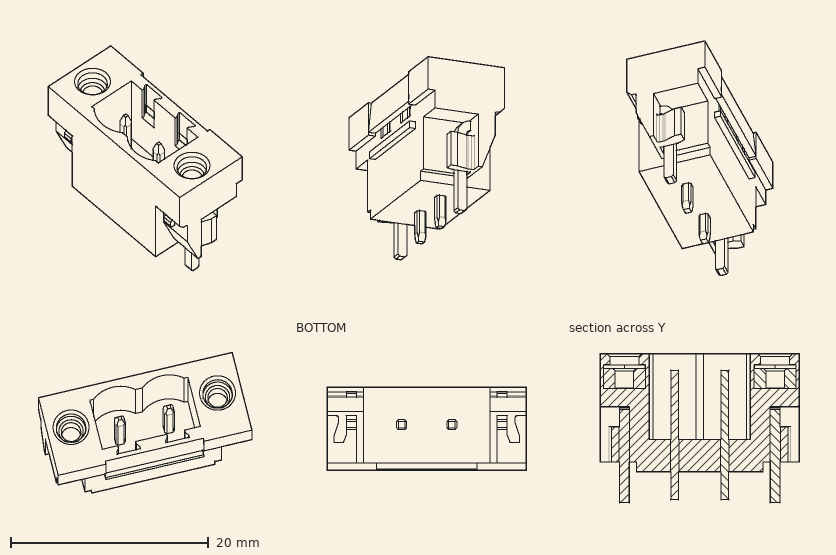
import cadquery as cq
import math


LENGTH = 20.15
TOP = 11.98
OVERHANG_BACK = 8.43
BODY_BACK = 7.66
OVERHANG_BOTTOM = 8.49
BODY_WIDTH = 12.82
PIN_BOTTOM = -3.23

HALF_LENGTH = LENGTH / 2
FLANGE_WIDTH = (LENGTH - BODY_WIDTH) / 2
AXIS_Y = 3.81
BAR = 1.0

CAVITY_WIDTH = 10.2
CAVITY_FRONT = 1.5
CAVITY_BACK = 6.81
CAVITY_FLOOR = 3.3
LOBE_FRONT = 0.7
LOBE_HALF_CHORD = 2.18

GROOVE_NECK = 1.83
GROOVE_WIDTH = 2.4
GROOVE_NECK_END = 7.05
GROOVE_WIDE_START = 7.44
GROOVE_FLOOR = 7.8

LATCH_FACE = 8.79
RAMP_DEPTH = 0.32
RIB_BACK = 8.3
RIB_BOTTOM = 5.99
RIB_TOP = 6.71

FLANGE_BOTTOM = 0.99
FLANGE_FRONT = 1.03
FLANGE_TOE = 2.45
SLOPE_TOP = 4.55
STEP_UNDERSIDE = 7.1
STEP_CHAMFER = 0.52
STEP_FILLET = 0.16

CHAMBER_FRONT = 2.9
CHAMBER_TOP = 6.57

CLIP_TOP = 4.6
CLIP_ROOT_FILLET = 0.22
CLIP_ROOT_INSET = 1.15
CLIP_TIP_INSET = 0.73
CLIP_BEND = 3.6
CLIP_BEND_RADIUS = 0.62
CLIP_TIP_START = 4.9
CLIP_TIP = 5.6
CLIP_LEAD_INSET = 1.65
CLIP_LEAD_START = 4.84

PITCH = 5.08
CONTACT_TOP = 11.07
CONTACT_CHAMFER = 0.2
CONTACT_TOP_TIP = 0.35
CONTACT_TOP_TAPER = 1.13
CONTACT_BOTTOM_TIP = 0.65
CONTACT_BOTTOM_TAPER = 0.93
CONTACT_XS = (-PITCH / 2, PITCH / 2)

SCREW_PITCH = 15.25
BEND_INNER = 0.4
ARM_FRONT = 0.46
ARM_TOP = 6.45
BAR_CHAMFER = 0.2
SIDES = (-1, 1)

SCREW_X = SCREW_PITCH / 2
OPENING_RADIUS = 1.5
OPENING_CHAMFER = 0.32
NUT_POCKET_TOP = 10.83
NUT_TOP = 10.46
NUT_HEIGHT = 2.0
NUT_ACROSS_CORNERS = 4.84
NUT_BORE_RADIUS = 0.99
NUT_CHAMFER = 0.25

CHAMBER_INSET = HALF_LENGTH - SCREW_X + BAR / 2
CLIP_INNER_INSET = CHAMBER_INSET - BAR


def box(x_range, y_range, z_range):
    """Box spanning the given (low, high) ranges."""
    (x0, x1), (y0, y1), (z0, z1) = x_range, y_range, z_range
    return cq.Workplane("XY").box(x1 - x0, y1 - y0, z1 - z0, centered=False).translate((x0, y0, z0))


def plane_at(z):
    """Horizontal work plane at height z."""
    return cq.Workplane("XY").workplane(offset=z)


def mirror_to(side, left_shape):
    """Return the left-hand shape, or its mirror image for the right-hand side."""
    return left_shape if side < 0 else left_shape.mirror("YZ")


def square_taper(bottom_z, height, bottom_width, top_width):
    """Four-sided taper between two square ends, centred on the Z axis."""
    return (
        plane_at(bottom_z).rect(bottom_width, bottom_width)
        .workplane(offset=height).rect(top_width, top_width)
        .loft(ruled=True)
    )


def make_contact(x):
    """Straight square contact with bevelled edges and tapered ends."""
    bar = (
        plane_at(PIN_BOTTOM).rect(BAR, BAR).extrude(CONTACT_TOP - PIN_BOTTOM)
        .edges("|Z").chamfer(CONTACT_CHAMFER)
    )
    shank_bottom = PIN_BOTTOM + CONTACT_BOTTOM_TAPER
    shank_top = CONTACT_TOP - CONTACT_TOP_TAPER
    envelope = (
        plane_at(shank_bottom).rect(BAR, BAR).extrude(shank_top - shank_bottom)
        .union(square_taper(PIN_BOTTOM, CONTACT_BOTTOM_TAPER, CONTACT_BOTTOM_TIP, BAR))
        .union(square_taper(shank_top, CONTACT_TOP_TAPER, BAR, CONTACT_TOP_TIP))
    )
    return bar.intersect(envelope).translate((x, AXIS_Y, 0))


def make_flange_pin(side):
    """Square bar bent through 90 degrees: an arm to the front and a leg down."""
    leg_front = AXIS_Y - BAR / 2
    leg_back = AXIS_Y + BAR / 2
    arm_bottom = ARM_TOP - BAR
    bend_outer = BEND_INNER + BAR
    bend_y = leg_back - bend_outer
    bend_z = ARM_TOP - bend_outer
    diagonal = math.sqrt(0.5)
    pin = (
        cq.Workplane("YZ", origin=(side * SCREW_X - BAR / 2, 0, 0))
        .moveTo(ARM_FRONT, arm_bottom)
        .lineTo(bend_y, arm_bottom)
        .threePointArc(
            (bend_y + BEND_INNER * diagonal, bend_z + BEND_INNER * diagonal), (leg_front, bend_z))
        .lineTo(leg_front, PIN_BOTTOM)
        .lineTo(leg_back, PIN_BOTTOM)
        .lineTo(leg_back, bend_z)
        .threePointArc(
            (bend_y + bend_outer * diagonal, bend_z + bend_outer * diagonal), (bend_y, ARM_TOP))
        .lineTo(ARM_FRONT, ARM_TOP)
        .close()
        .extrude(BAR)
    )
    return pin.faces("<Z or <Y").edges("|X").chamfer(BAR_CHAMFER)


def nut_blank(bottom, top):
    """Hexagonal block with its corners towards the front and back, centred on the Z axis."""
    hexagon = plane_at(bottom).transformed(rotate=(0, 0, 90)).polygon(6, NUT_ACROSS_CORNERS)
    return hexagon.extrude(top - bottom)


def make_nut(side):
    """Hexagonal nut with a countersunk bore."""
    nut = nut_blank(NUT_TOP - NUT_HEIGHT, NUT_TOP)
    nut = nut.faces(">Z").workplane().circle(NUT_BORE_RADIUS).cutThruAll()
    nut = nut.faces(">Z").edges("%CIRCLE").chamfer(NUT_CHAMFER)
    return nut.translate((side * SCREW_X, AXIS_Y, 0))


def central_body():
    """Central block with the overhang ramped for the latch, and the rib below it."""
    half_body = BODY_WIDTH / 2
    half_latch = CAVITY_WIDTH / 2
    body = box((-half_body, half_body), (0, BODY_BACK), (0, TOP))
    body = body.union(
        box((-half_body, half_body), (BODY_BACK, OVERHANG_BACK), (OVERHANG_BOTTOM, TOP)))
    ramp_relief = (
        cq.Workplane("YZ", origin=(-half_latch, 0, 0))
        .polyline([(OVERHANG_BACK - RAMP_DEPTH, TOP), (OVERHANG_BACK, TOP), (OVERHANG_BACK, LATCH_FACE)])
        .close().extrude(CAVITY_WIDTH)
    )
    latch_undercut = box(
        (-half_latch, half_latch), (BODY_BACK, OVERHANG_BACK), (OVERHANG_BOTTOM, LATCH_FACE))
    rib = box((-half_latch, half_latch), (BODY_BACK, RIB_BACK), (RIB_BOTTOM, RIB_TOP))
    return body.cut(ramp_relief).cut(latch_undercut).union(rib)


def left_flange():
    """Left flange with its stepped front, pin chamber and clip finger."""
    flange = (
        cq.Workplane("YZ", origin=(-HALF_LENGTH, 0, 0))
        .polyline([
            (0, TOP),
            (OVERHANG_BACK, TOP),
            (OVERHANG_BACK, OVERHANG_BOTTOM),
            (BODY_BACK, OVERHANG_BOTTOM),
            (BODY_BACK, FLANGE_BOTTOM),
            (FLANGE_TOE, FLANGE_BOTTOM),
            (FLANGE_FRONT, SLOPE_TOP),
            (FLANGE_FRONT, STEP_UNDERSIDE),
            (STEP_CHAMFER, STEP_UNDERSIDE),
            (0, STEP_UNDERSIDE + STEP_CHAMFER),
        ])
        .close().extrude(FLANGE_WIDTH)
    )
    step_corner = cq.selectors.NearestToPointSelector(
        (-HALF_LENGTH + FLANGE_WIDTH / 2, FLANGE_FRONT, STEP_UNDERSIDE))
    flange = flange.edges(step_corner).fillet(STEP_FILLET)
    chamber = box(
        (-HALF_LENGTH, -HALF_LENGTH + CHAMBER_INSET),
        (CHAMBER_FRONT, BODY_BACK),
        (FLANGE_BOTTOM, CHAMBER_TOP))
    return flange.cut(chamber).union(clip_finger())


def clip_finger():
    """Finger behind the flange front wall that lies against the side of the pin leg."""
    fillet_end = CHAMBER_FRONT + CLIP_ROOT_FILLET
    arc_inset = CLIP_ROOT_FILLET * (1 - math.sqrt(0.5))
    finger = (
        plane_at(FLANGE_BOTTOM).center(-HALF_LENGTH, 0)
        .moveTo(CLIP_INNER_INSET, CHAMBER_FRONT)
        .lineTo(CLIP_ROOT_INSET - CLIP_ROOT_FILLET, CHAMBER_FRONT)
        .threePointArc(
            (CLIP_ROOT_INSET - arc_inset, CHAMBER_FRONT + arc_inset), (CLIP_ROOT_INSET, fillet_end))
        .lineTo(CLIP_ROOT_INSET, CLIP_BEND)
        .lineTo(CLIP_TIP_INSET, CLIP_TIP_START)
        .lineTo(CLIP_TIP_INSET, CLIP_TIP)
        .lineTo(CLIP_LEAD_INSET, CLIP_TIP)
        .lineTo(CLIP_INNER_INSET, CLIP_LEAD_START)
        .close()
        .extrude(CLIP_TOP - FLANGE_BOTTOM)
    )
    bend_edge = cq.selectors.NearestToPointSelector(
        (CLIP_ROOT_INSET - HALF_LENGTH, CLIP_BEND, (CLIP_TOP + FLANGE_BOTTOM) / 2))
    return finger.edges(bend_edge).fillet(CLIP_BEND_RADIUS)


def cavity():
    """Mating cavity with one rounded lobe in front of each contact."""
    half = CAVITY_WIDTH / 2
    outline = plane_at(CAVITY_FLOOR).moveTo(-half, CAVITY_BACK).lineTo(-half, CAVITY_FRONT)
    for x in CONTACT_XS:
        outline = (
            outline.lineTo(x - LOBE_HALF_CHORD, CAVITY_FRONT)
            .threePointArc((x, LOBE_FRONT), (x + LOBE_HALF_CHORD, CAVITY_FRONT))
        )
    outline = outline.lineTo(half, CAVITY_FRONT).lineTo(half, CAVITY_BACK).close()
    return outline.extrude(TOP - CAVITY_FLOOR)


def coding_groove(x):
    """Dovetail groove that opens through the back of the body below the latch."""
    neck = GROOVE_NECK / 2
    wide = GROOVE_WIDTH / 2
    return (
        plane_at(GROOVE_FLOOR).center(x, 0)
        .polyline([
            (-neck, CAVITY_BACK), (-neck, GROOVE_NECK_END), (-wide, GROOVE_WIDE_START), (-wide, BODY_BACK),
            (wide, BODY_BACK), (wide, GROOVE_WIDE_START), (neck, GROOVE_NECK_END), (neck, CAVITY_BACK),
        ])
        .close().extrude(TOP - GROOVE_FLOOR)
    )


def screw_opening(side):
    """Chamfered round opening above the hexagonal nut pocket."""
    opening = plane_at(NUT_POCKET_TOP).circle(OPENING_RADIUS).extrude(TOP - NUT_POCKET_TOP)
    countersink = (
        plane_at(TOP - OPENING_CHAMFER).circle(OPENING_RADIUS)
        .workplane(offset=OPENING_CHAMFER).circle(OPENING_RADIUS + OPENING_CHAMFER)
        .loft()
    )
    pocket = nut_blank(NUT_TOP - NUT_HEIGHT, NUT_POCKET_TOP)
    return opening.union(countersink).union(pocket).translate((side * SCREW_X, AXIS_Y, 0))


def make_housing(contacts, flange_pins):
    """Housing with all openings, and holes that fit the pins."""
    housing = central_body().cut(cavity())
    for x in CONTACT_XS:
        housing = housing.cut(coding_groove(x))
    for side in SIDES:
        housing = housing.union(mirror_to(side, left_flange())).cut(screw_opening(side))
    for pin in contacts + flange_pins:
        housing = housing.cut(pin)
    return housing


contacts = [make_contact(x) for x in CONTACT_XS]
flange_pins = [make_flange_pin(side) for side in SIDES]
nuts = [make_nut(side) for side in SIDES]
housing = make_housing(contacts, flange_pins)

result = cq.Compound.makeCompound(
    [housing.val()] + [body.val() for body in contacts + flange_pins + nuts])